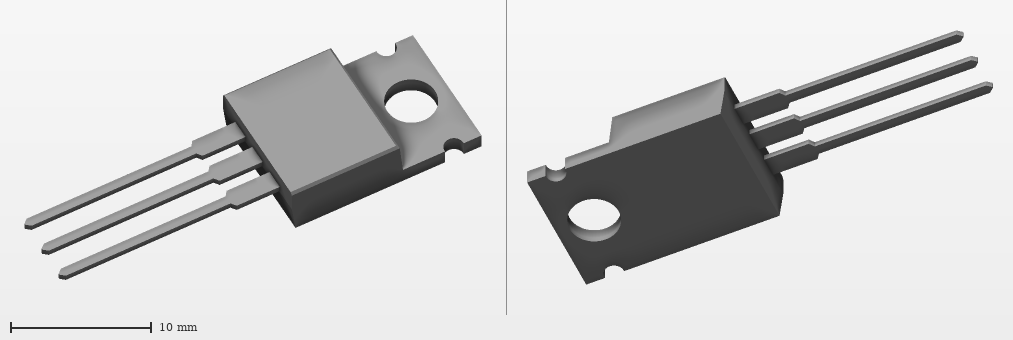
import cadquery as cq

width = 10.15
total_length = 32.9
height = 4.2

tab_end = 15.4
tab_thickness = 1.28
hole_diameter = 3.85
hole_from_end = 2.93
notch_radius = 0.75
notch_depth = 0.82
notch_from_end = 2.2

body_length = 9.0
back_lean = 0.25
parting_height = 2.37
front_undercut = 0.3
top_bevel = 0.2

lead_count = 3
lead_pitch = 2.53
lead_bottom = 2.47
lead_thickness = 0.5
lead_width = 1.5
pin_width = 0.72
shoulder_start = 3.5
shoulder_length = 0.3
tip_length = 0.35
tip_width = 0.1
lead_embed = 0.33
lead_end = total_length - tab_end


def make_tab():
    """Flat tab with its mounting hole and two rounded side notches."""
    tab_root = body_length / 2
    tab_length = tab_end - tab_root
    tab = cq.Workplane("XY").box(width, tab_length, tab_thickness, centered=(True, False, False))
    tab = tab.translate((0, tab_root, 0))
    hole = (
        cq.Workplane("XY")
        .center(0, tab_end - hole_from_end)
        .circle(hole_diameter / 2)
        .extrude(tab_thickness)
    )
    tab = tab.cut(hole)
    notch_x = width / 2 - notch_depth + notch_radius
    for side in (-1, 1):
        notch = (
            cq.Workplane("XY")
            .center(side * notch_x, tab_end - notch_from_end)
            .circle(notch_radius)
            .extrude(tab_thickness)
        )
        tab = tab.cut(notch)
    return tab


def make_body():
    """Body with a leaning back, undercut front and bevelled back and side top edges."""
    bevel_bottom = height - top_bevel
    back_top = body_length - back_lean
    side_profile = [
        (front_undercut, 0),
        (body_length, 0),
        (body_length, tab_thickness),
        (back_top, bevel_bottom),
        (back_top - top_bevel, height),
        (0, height),
        (0, parting_height),
    ]
    body = cq.Workplane("YZ").polyline(side_profile).close().extrude(width / 2, both=True)

    half_width = width / 2
    front_profile = [
        (-half_width, 0),
        (half_width, 0),
        (half_width, bevel_bottom),
        (half_width - top_bevel, height),
        (-half_width + top_bevel, height),
        (-half_width, bevel_bottom),
    ]
    envelope = cq.Workplane("XZ").polyline(front_profile).close().extrude(-body_length)
    return body.intersect(envelope)


def make_lead(x):
    """Lead with a wide root, tapered shoulder and narrow pin with a blunt point."""
    right_edge = [
        (lead_width / 2, lead_embed),
        (lead_width / 2, -shoulder_start),
        (pin_width / 2, -shoulder_start - shoulder_length),
        (pin_width / 2, -lead_end + tip_length),
        (tip_width / 2, -lead_end),
    ]
    left_edge = [(-px, py) for px, py in reversed(right_edge)]
    lead = cq.Workplane("XY").polyline(right_edge + left_edge).close().extrude(lead_thickness)
    return lead.translate((x, 0, lead_bottom))


result = make_body().union(make_tab())
for index in range(lead_count):
    lead_x = (index - (lead_count - 1) / 2) * lead_pitch
    result = result.union(make_lead(lead_x))